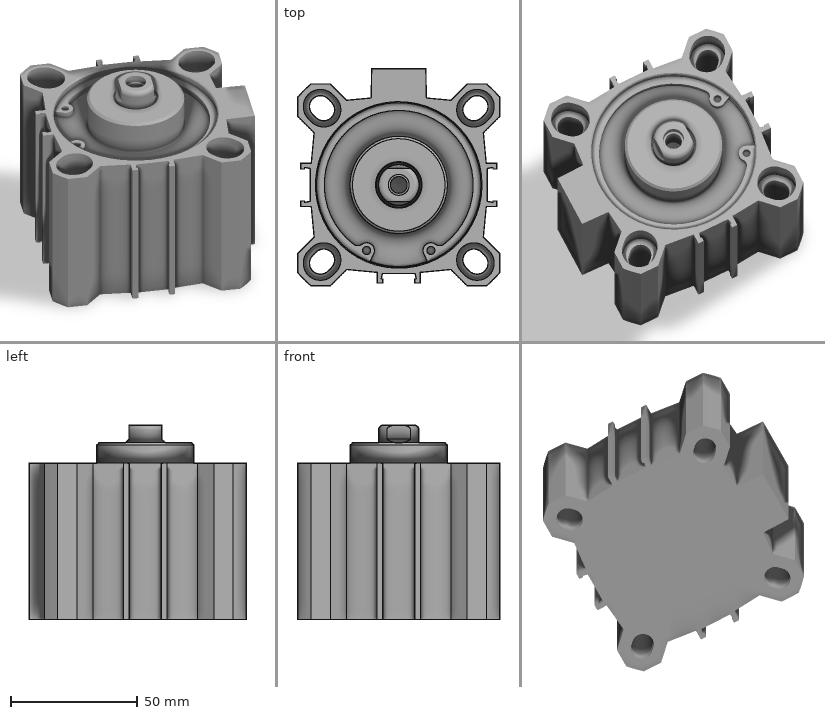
import cadquery as cq
import math

HOUSING_HEIGHT = 61.9
HALF_WIDTH = 40.0
CORNER_RADIUS = 53.0
POST_INNER = 27.1
FLANK = 6.45
WALL_AT_POST = HALF_WIDTH - FLANK
WALL_AT_CENTRE = 34.7
WALL_CENTRE_OFFSET = 8.8

RAIL_OUTER = 8.6
RAIL_TIP = 38.9
RAIL_FLOOR = 35.1
RAIL_LIP = 1.6
RAIL_LIP_INNER = 6.3
RAIL_NECK_AT_LIP = 6.9
RAIL_NECK_AT_FLOOR = 6.45
RAIL_SIDES = (0, 180, 270)

BLOCK_TIP = 46.0
BLOCK_TIP_HALF = 10.75
BLOCK_ROOT_HALF = 11.0

MOUNT_OFFSET = 30.4
MOUNT_STRETCH = 1.8
MOUNT_HOLE_DIAMETER = 8.6
MOUNT_COUNTERBORE_DIAMETER = 13.6
MOUNT_COUNTERBORE_DEPTH = 10.0

BORE_DIAMETER = 65.1
BORE_CHAMFER = 0.4
COVER_TOP = 56.25
COVER_THICKNESS = 12.0
COVER_DIAMETER = 64.7
RING_THICKNESS = 2.5
RING_OUTER_DIAMETER = 68.2
RING_INNER_DIAMETER = 59.0
LUG_X = 12.7
LUG_Y = -26.0
LUG_RADIUS = 3.1
LUG_HOLE_DIAMETER = 3.2
LUG_FILLET = 2.6
LUG_END_ANGLE = 24.8

BOSS_DIAMETER = 38.5
BOSS_TOP = 70.0
BOSS_CHAMFER = 0.95
BOSS_ROOT_FILLET = 0.8
WIPER_DIAMETER = 17.7
WIPER_DEPTH = 1.7
WIPER_CHAMFER = 0.35
THROAT_DIAMETER = 16.5
THROAT_DEPTH = 1.7

ROD_DIAMETER = 16.0
ROD_TOP = 77.0
ROD_TOP_FILLET = 1.9
ROD_FLAT_WIDTH = 13.0
ROD_FLAT_BOTTOM = 71.4
ROD_HOLE_DIAMETER = 6.6
ROD_HOLE_DEPTH = 13.8
ROD_RECESS_DIAMETER = 8.25
ROD_RECESS_DEPTH = 2.9
DRILL_POINT_ANGLE = 166.0

COVER_BOTTOM = COVER_TOP - COVER_THICKNESS


def cylinder(diameter, bottom, top):
    return cq.Workplane("XY").workplane(offset=bottom).circle(diameter / 2).extrude(top - bottom)


def turn(open_profile):
    """Close a profile drawn in the XZ plane and revolve it about the Z axis."""
    return open_profile.close().revolve(360, (0, 0, 0), (0, 1, 0))


def prism(points, height):
    return cq.Workplane("XY").polyline(points).close().extrude(height)


def make_quarter():
    """One side of the body (facing +X) with the two half posts beside it."""
    side = [
        (0, 0),
        (HALF_WIDTH, -HALF_WIDTH),
        (HALF_WIDTH, -POST_INNER),
        (WALL_AT_POST, -POST_INNER + FLANK),
        (WALL_AT_CENTRE, -WALL_CENTRE_OFFSET),
        (WALL_AT_CENTRE, WALL_CENTRE_OFFSET),
        (WALL_AT_POST, POST_INNER - FLANK),
        (HALF_WIDTH, POST_INNER),
        (HALF_WIDTH, HALF_WIDTH),
    ]
    return prism(side, HOUSING_HEIGHT)


def make_rail_pair():
    """Two lipped rails on the +X side with the slot floor between them."""
    lip_bottom = RAIL_TIP - RAIL_LIP
    half = [
        (RAIL_FLOOR, RAIL_NECK_AT_FLOOR),
        (lip_bottom, RAIL_NECK_AT_LIP),
        (lip_bottom, RAIL_LIP_INNER),
        (RAIL_TIP, RAIL_LIP_INNER),
        (RAIL_TIP, RAIL_OUTER),
    ]
    root = WALL_AT_POST
    other_half = [(x, -y) for x, y in reversed(half)]
    return prism([(root, -RAIL_OUTER)] + other_half + half + [(root, RAIL_OUTER)], HOUSING_HEIGHT)


def make_port_block():
    block = [
        (-BLOCK_ROOT_HALF, WALL_AT_POST),
        (-BLOCK_TIP_HALF, BLOCK_TIP),
        (BLOCK_TIP_HALF, BLOCK_TIP),
        (BLOCK_ROOT_HALF, WALL_AT_POST),
    ]
    return prism(block, HOUSING_HEIGHT)


def make_mounting_hole(angle):
    """Stepped, radially stretched hole through the post at the given angle."""
    radius = MOUNT_OFFSET * math.sqrt(2)
    through = (
        cq.Workplane("XY")
        .center(radius, 0)
        .slot2D(MOUNT_HOLE_DIAMETER + MOUNT_STRETCH, MOUNT_HOLE_DIAMETER)
        .extrude(HOUSING_HEIGHT)
    )
    counterbore = (
        cq.Workplane("XY")
        .workplane(offset=HOUSING_HEIGHT - MOUNT_COUNTERBORE_DEPTH)
        .center(radius, 0)
        .slot2D(MOUNT_COUNTERBORE_DIAMETER + MOUNT_STRETCH, MOUNT_COUNTERBORE_DIAMETER)
        .extrude(MOUNT_COUNTERBORE_DEPTH)
    )
    return through.union(counterbore).rotate((0, 0, 0), (0, 0, 1), angle)


def make_housing():
    sides = (0, 90, 180, 270)
    body = make_quarter()
    for angle in sides[1:]:
        body = body.union(make_quarter().rotate((0, 0, 0), (0, 0, 1), angle))
    body = body.intersect(cylinder(2 * CORNER_RADIUS, 0, HOUSING_HEIGHT))
    for angle in RAIL_SIDES:
        body = body.union(make_rail_pair().rotate((0, 0, 0), (0, 0, 1), angle))
    body = body.union(make_port_block())

    for angle in sides:
        body = body.cut(make_mounting_hole(angle + 45))

    bore = cylinder(BORE_DIAMETER, COVER_BOTTOM, HOUSING_HEIGHT)
    ring_groove = cylinder(RING_OUTER_DIAMETER, COVER_TOP, COVER_TOP + RING_THICKNESS)
    bore_radius = BORE_DIAMETER / 2
    mouth_edge = [
        (bore_radius, HOUSING_HEIGHT - BORE_CHAMFER),
        (bore_radius + BORE_CHAMFER, HOUSING_HEIGHT),
        (bore_radius, HOUSING_HEIGHT),
    ]
    mouth_chamfer = turn(cq.Workplane("XZ").polyline(mouth_edge))
    return body.cut(bore).cut(ring_groove).cut(mouth_chamfer)


def make_cover():
    """Round flange with a raised boss, turned as one profile with the stepped rod bore."""
    rod_radius = ROD_DIAMETER / 2
    throat_radius = THROAT_DIAMETER / 2
    wiper_radius = WIPER_DIAMETER / 2
    boss_radius = BOSS_DIAMETER / 2
    flange_radius = COVER_DIAMETER / 2
    wiper_floor = BOSS_TOP - WIPER_DEPTH
    throat_floor = wiper_floor - THROAT_DEPTH
    profile = (
        cq.Workplane("XZ")
        .moveTo(rod_radius, COVER_BOTTOM)
        .lineTo(flange_radius, COVER_BOTTOM)
        .lineTo(flange_radius, COVER_TOP)
        .lineTo(boss_radius + BOSS_ROOT_FILLET, COVER_TOP)
        .tangentArcPoint((boss_radius, COVER_TOP + BOSS_ROOT_FILLET), relative=False)
        .lineTo(boss_radius, BOSS_TOP - BOSS_CHAMFER)
        .lineTo(boss_radius - BOSS_CHAMFER, BOSS_TOP)
        .lineTo(wiper_radius + WIPER_CHAMFER, BOSS_TOP)
        .lineTo(wiper_radius, BOSS_TOP - WIPER_CHAMFER)
        .lineTo(wiper_radius, wiper_floor)
        .lineTo(throat_radius, wiper_floor)
        .lineTo(throat_radius, throat_floor)
        .lineTo(rod_radius, throat_floor)
    )
    return turn(profile)


def make_lug():
    """Left-hand lug: an eye with a straight end face running out to the ring's outer edge."""
    end_angle = math.radians(LUG_END_ANGLE)
    outward = (-math.sin(end_angle), -math.cos(end_angle))
    eye = (-LUG_X, LUG_Y)
    tangent = (eye[0] + LUG_RADIUS * math.cos(end_angle), eye[1] - LUG_RADIUS * math.sin(end_angle))
    reach = RING_OUTER_DIAMETER / 2
    web = [
        eye,
        tangent,
        (tangent[0] + reach * outward[0], tangent[1] + reach * outward[1]),
        (eye[0] + reach * outward[0], eye[1] + reach * outward[1]),
    ]
    eye_disc = cq.Workplane("XY").center(*eye).circle(LUG_RADIUS).extrude(RING_THICKNESS)
    return eye_disc.union(prism(web, RING_THICKNESS))


def make_snap_ring():
    end_slope = math.tan(math.radians(LUG_END_ANGLE))
    end_cos = math.cos(math.radians(LUG_END_ANGLE))
    opening_half_top = LUG_X - LUG_RADIUS / end_cos
    drop = RING_OUTER_DIAMETER
    opening = prism(
        [
            (-opening_half_top, LUG_Y),
            (opening_half_top, LUG_Y),
            (opening_half_top + drop * end_slope, LUG_Y - drop),
            (-opening_half_top - drop * end_slope, LUG_Y - drop),
        ],
        RING_THICKNESS,
    )
    outer_disc = cylinder(RING_OUTER_DIAMETER, 0, RING_THICKNESS)
    ring = outer_disc.cut(cylinder(RING_INNER_DIAMETER, 0, RING_THICKNESS)).cut(opening)
    lug = make_lug().intersect(outer_disc)
    ring = ring.union(lug).union(lug.mirror("YZ"))

    lug_distance = math.hypot(LUG_X, LUG_Y)
    for side in (-1, 1):
        corner = (
            side * (LUG_X - LUG_RADIUS * LUG_Y / lug_distance),
            LUG_Y + LUG_RADIUS * LUG_X / lug_distance,
            RING_THICKNESS / 2,
        )
        ring = ring.edges("|Z").edges(cq.selectors.NearestToPointSelector(corner)).fillet(LUG_FILLET)
        ring = ring.cut(
            cq.Workplane("XY").center(side * LUG_X, LUG_Y).circle(LUG_HOLE_DIAMETER / 2).extrude(RING_THICKNESS)
        )
    return ring.translate((0, 0, COVER_TOP))


def make_rod():
    rod = cylinder(ROD_DIAMETER, COVER_BOTTOM, ROD_TOP).faces(">Z").edges().fillet(ROD_TOP_FILLET)
    flat = ROD_FLAT_WIDTH / 2
    reach = ROD_DIAMETER / 2 - flat
    flat_cut = (
        cq.Workplane("YZ")
        .polyline([
            (flat, ROD_TOP),
            (flat, ROD_FLAT_BOTTOM),
            (flat + reach, ROD_FLAT_BOTTOM - reach),
            (flat + reach, ROD_TOP),
        ])
        .close()
        .extrude(ROD_DIAMETER / 2, both=True)
    )
    rod = rod.cut(flat_cut).cut(flat_cut.mirror("XZ"))

    hole_radius = ROD_HOLE_DIAMETER / 2
    recess_radius = ROD_RECESS_DIAMETER / 2
    recess_bottom = ROD_TOP - ROD_RECESS_DEPTH
    hole_bottom = ROD_TOP - ROD_HOLE_DEPTH
    drill_point = hole_radius / math.tan(math.radians(DRILL_POINT_ANGLE / 2))
    hole_profile = [
        (0, ROD_TOP),
        (recess_radius, ROD_TOP),
        (recess_radius, recess_bottom),
        (hole_radius, recess_bottom),
        (hole_radius, hole_bottom),
        (0, hole_bottom - drill_point),
    ]
    return rod.cut(turn(cq.Workplane("XZ").polyline(hole_profile)))


housing = make_housing()
cover = make_cover()
snap_ring = make_snap_ring()
rod = make_rod()

result = cq.Compound.makeCompound([housing.val(), cover.val(), snap_ring.val(), rod.val()])